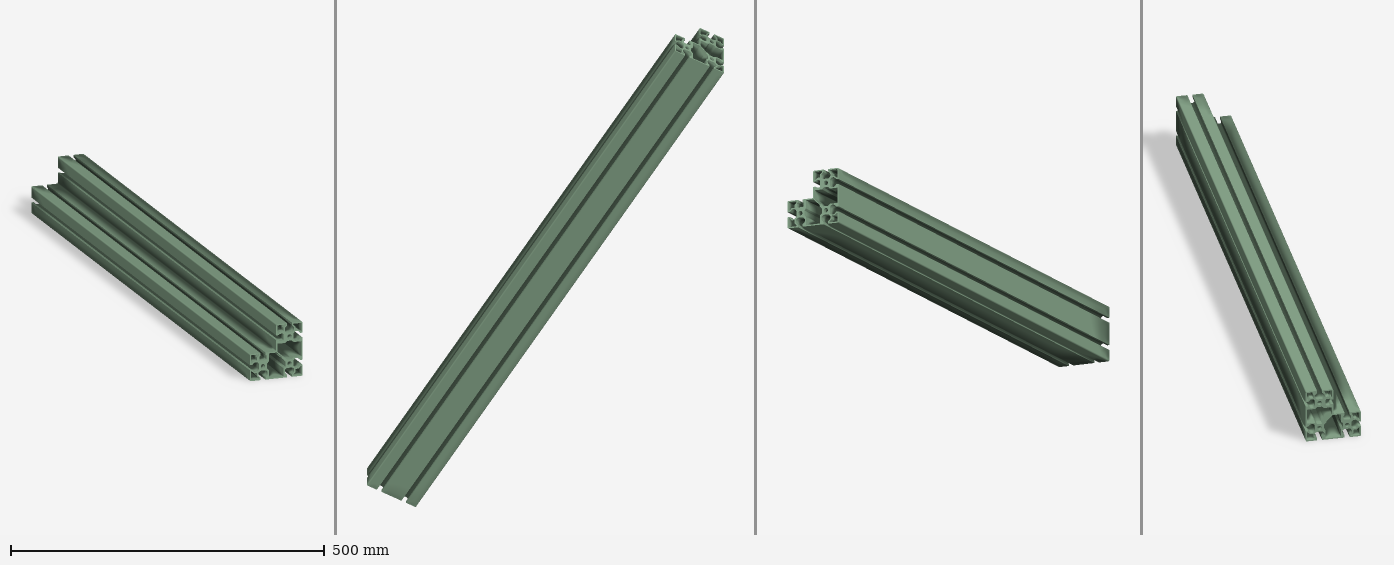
import cadquery as cq
import math


length = 1000.0
cell = 45.0
half = cell / 2
leg = 2 * cell
wall = 2.0
edge_radius = 2.0
core_hole_diameter = 7.3

slot_mouth_half = 4.1
slot_wide_half = 8.0
slot_floor = 7.0
slot_floor_half = 5.0
lip = 4.0
lip_back = half - lip
slope_sum = slot_mouth_half + lip_back
slot_radius = 4.0
shallow_floor = 10.0
shallow_half = 6.0
shallow_radius = 2.0
pocket_radius = 1.0

cell_face = slot_wide_half + wall
recess_floor_half = 4.0
web_thickness = 1.5
web_root_thickness = 4.2
web_root_end = 10.0

corner_centre = (half, half)
upper_centre = (half, half + cell)
side_centre = (half + cell, half)

LEFT, RIGHT, DOWN, UP = (-1, 0), (1, 0), (0, -1), (0, 1)

section_plane = cq.Plane(
    origin=(length / 2, leg / 2, -leg / 2),
    xDir=(0, -1, 0),
    normal=(-1, 0, 0),
)


def bar(points):
    """Full-length bar with the closed outline given by points."""
    return cq.Workplane(section_plane).polyline(points).close().extrude(length)


def rounded_bar(points, radius):
    """Full-length bar with every long edge rounded."""
    return bar(points).edges("|X").fillet(radius)


def swapped(points):
    """Mirror points in the diagonal of the L."""
    return [(up, across) for across, up in points]


def mirrored(points):
    """Append the reflection of points in the outward axis, in reverse order."""
    return points + [(-sideways, outward) for sideways, outward in reversed(points)]


def placed(points, centre, direction):
    """Move (sideways, outward) points to the side of a cell that faces the direction."""
    out_across, out_up = direction
    return [
        (
            centre[0] + sideways * out_up + outward * out_across,
            centre[1] - sideways * out_across + outward * out_up,
        )
        for sideways, outward in points
    ]


def cut_slots(body):
    """Rounded T-slots on the outside of the L, shallower ones on the two inward faces."""
    mouth = mirrored([(slot_mouth_half, lip_back), (slot_mouth_half, half)])
    apex = (0, slope_sum)
    deep_cavity = [
        (slot_floor_half, slot_floor),
        (slot_wide_half, slot_floor + slot_wide_half - slot_floor_half),
        (slot_wide_half, slope_sum - slot_wide_half),
        apex,
        (-slot_wide_half, slope_sum - slot_wide_half),
        (-slot_wide_half, slot_floor + slot_wide_half - slot_floor_half),
        (-slot_floor_half, slot_floor),
    ]
    shallow_cavity = [
        (shallow_half, shallow_floor),
        (shallow_half, slope_sum - shallow_half),
        apex,
        (-shallow_half, slope_sum - shallow_half),
        (-shallow_half, shallow_floor),
    ]
    deep = (deep_cavity, slot_radius)
    shallow = (shallow_cavity, shallow_radius)
    slots = [
        (deep, corner_centre, LEFT),
        (deep, corner_centre, DOWN),
        (deep, upper_centre, LEFT),
        (deep, upper_centre, UP),
        (deep, side_centre, DOWN),
        (deep, side_centre, RIGHT),
        (shallow, upper_centre, RIGHT),
        (shallow, side_centre, UP),
    ]
    for (cavity, radius), centre, direction in slots:
        body = body.cut(rounded_bar(placed(cavity, centre, direction), radius))
        body = body.cut(bar(placed(mouth, centre, direction)))
    return body


def cut_corner_pockets(body):
    """Closed pockets in the cell corners, one wall away from the skin and the slots."""
    pocket_outer = half - wall
    pocket_sum = slope_sum + wall * math.sqrt(2)
    slope = [
        (pocket_sum - pocket_outer, pocket_outer),
        (cell_face, pocket_sum - cell_face),
    ]
    pocket = [
        *slope,
        (cell_face, cell_face),
        *reversed(swapped(slope)),
        (pocket_outer, pocket_outer),
    ]
    pockets = [
        (corner_centre, DOWN),
        (upper_centre, LEFT),
        (upper_centre, UP),
        (side_centre, UP),
        (side_centre, RIGHT),
    ]
    for centre, direction in pockets:
        body = body.cut(rounded_bar(placed(pocket, centre, direction), pocket_radius))
    return body


def cut_hollow(body):
    """Hollow at the bend, halved by a diagonal web with a thick foot at the corner cell."""
    recess_half = recess_floor_half + cell_face - slot_floor
    recess = mirrored([(recess_half, cell_face), (recess_floor_half, slot_floor)])
    inner = cell - wall
    web_offset = web_thickness / math.sqrt(2)
    root_shift = web_root_thickness / math.sqrt(8)
    root_end = half + web_root_end
    upper_half = [
        (wall, upper_centre[1] - cell_face),
        *placed(recess, upper_centre, DOWN),
        (inner, upper_centre[1] - cell_face),
        (inner, inner + web_offset),
        (root_end - web_offset / 2, root_end + web_offset / 2),
        (root_end - root_shift, root_end + root_shift),
        *placed(recess, corner_centre, UP),
        (wall, corner_centre[1] + cell_face),
    ]
    return body.cut(bar(upper_half)).cut(bar(swapped(upper_half)))


def cut_core_holes(body):
    """Round hole through the core of every cell."""
    centres = [corner_centre, upper_centre, side_centre]
    holes = cq.Workplane(section_plane).pushPoints(centres).circle(core_hole_diameter / 2).extrude(length)
    return body.cut(holes)


outline = [(0, 0), (leg, 0), (leg, cell), (cell, cell), (cell, leg), (0, leg)]
body = rounded_bar(outline, edge_radius)
body = cut_slots(body)
body = cut_corner_pockets(body)
body = cut_hollow(body)
result = cut_core_holes(body)